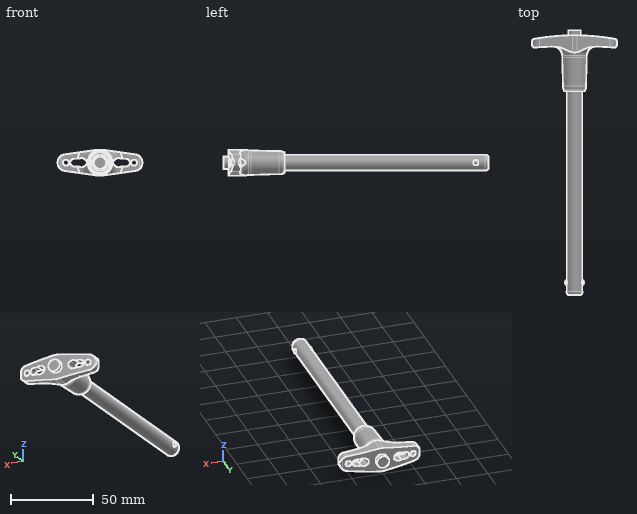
import cadquery as cq
import math

TOTAL_LENGTH = 160.4

SHAFT_RADIUS = 4.8
TIP_RADIUS = 3.7
TIP_LENGTH = 2.4
BUTTON_RADIUS = 3.8
BUTTON_HEIGHT = 3.0

BALL_RADIUS = 1.8
BALL_REACH = 5.8
BALL_Y = 7.7

COLLAR_BOTTOM_Y = 123.3
COLLAR_BOTTOM_RADIUS = 6.3
COLLAR_LIP_RADIUS = 6.7
COLLAR_LIP_HEIGHT = 1.1
COLLAR_SHOULDER_RADIUS = 7.0
COLLAR_SHOULDER_HEIGHT = 3.5
COLLAR_CURVE_RADIUS = 4.0
NECK_RADIUS = 7.5
NECK_BOTTOM_Y = 143.9
NECK_TOP_Y = 145.3

HANDLE_LENGTH = 51.5
HANDLE_HALF_THICKNESS = 7.94
CENTRE_FLAT_HALF_WIDTH = 1.3
EAR_RADIUS = 5.1
EAR_X = HANDLE_LENGTH / 2 - EAR_RADIUS
HANDLE_TOP_Y = TOTAL_LENGTH - BUTTON_HEIGHT
TOP_CROWN_RADIUS = 136.3
UNDERSIDE_Y = 150.6
EAR_BOTTOM_Y = 149.7
END_ROUNDING = 1.8
FLARE_RADIUS = 13.8
FLARE_TOP_Y = 150.3

EAR_HOLE_RADIUS = 1.8
SLOT_HALF_WIDTH = 2.2
SLOT_INNER_X = 8.0
SLOT_OUTER_X = 18.0
SLOT_BULGE_RADIUS = 2.7
SLOT_BULGE_X = 11.2


def make_pin():
    """Shaft with a rounded tip, the collar and the push button."""
    tip_mid_radius = TIP_RADIUS + (SHAFT_RADIUS - TIP_RADIUS) * math.sin(math.radians(45))
    tip_mid_y = TIP_LENGTH * (1 - math.cos(math.radians(45)))
    lip_y = COLLAR_BOTTOM_Y + COLLAR_LIP_HEIGHT
    shoulder_y = COLLAR_BOTTOM_Y + COLLAR_SHOULDER_HEIGHT
    return (
        cq.Workplane("XY")
        .lineTo(TIP_RADIUS, 0)
        .threePointArc((tip_mid_radius, tip_mid_y), (SHAFT_RADIUS, TIP_LENGTH))
        .lineTo(SHAFT_RADIUS, COLLAR_BOTTOM_Y)
        .lineTo(COLLAR_BOTTOM_RADIUS, COLLAR_BOTTOM_Y)
        .lineTo(COLLAR_LIP_RADIUS, lip_y)
        .radiusArc((COLLAR_SHOULDER_RADIUS, shoulder_y), -COLLAR_CURVE_RADIUS)
        .lineTo(NECK_RADIUS, NECK_BOTTOM_Y)
        .lineTo(NECK_RADIUS, NECK_TOP_Y)
        .lineTo(BUTTON_RADIUS, NECK_TOP_Y)
        .lineTo(BUTTON_RADIUS, TOTAL_LENGTH)
        .lineTo(0, TOTAL_LENGTH)
        .close()
        .revolve(360, (0, 0, 0), (0, 1, 0))
    )


def make_outline_prism():
    """Handle outline along the pin axis: straight flanks tangent to round ears."""
    run = EAR_X - CENTRE_FLAT_HALF_WIDTH
    distance = math.hypot(run, HANDLE_HALF_THICKNESS)
    corner_angle = math.pi - math.atan2(HANDLE_HALF_THICKNESS, run)
    tangent_angle = corner_angle - math.acos(EAR_RADIUS / distance)
    tangent_x = EAR_X + EAR_RADIUS * math.cos(tangent_angle)
    tangent_z = EAR_RADIUS * math.sin(tangent_angle)
    tip_x = HANDLE_LENGTH / 2
    return (
        cq.Workplane("XZ")
        .moveTo(-CENTRE_FLAT_HALF_WIDTH, HANDLE_HALF_THICKNESS)
        .lineTo(CENTRE_FLAT_HALF_WIDTH, HANDLE_HALF_THICKNESS)
        .lineTo(tangent_x, tangent_z)
        .threePointArc((tip_x, 0), (tangent_x, -tangent_z))
        .lineTo(CENTRE_FLAT_HALF_WIDTH, -HANDLE_HALF_THICKNESS)
        .lineTo(-CENTRE_FLAT_HALF_WIDTH, -HANDLE_HALF_THICKNESS)
        .lineTo(-tangent_x, -tangent_z)
        .threePointArc((-tip_x, 0), (-tangent_x, tangent_z))
        .close()
        .extrude(-TOTAL_LENGTH)
    )


def make_bar():
    """Crowned bar with rounded ends, as long and thick as the whole handle."""
    end_x = HANDLE_LENGTH / 2
    crown_drop = TOP_CROWN_RADIUS - math.sqrt(TOP_CROWN_RADIUS**2 - end_x**2)
    end_top_y = HANDLE_TOP_Y - crown_drop
    return (
        cq.Workplane("XY")
        .moveTo(-end_x, EAR_BOTTOM_Y)
        .lineTo(-end_x, end_top_y)
        .threePointArc((0, HANDLE_TOP_Y), (end_x, end_top_y))
        .lineTo(end_x, EAR_BOTTOM_Y)
        .threePointArc((0, UNDERSIDE_Y), (-end_x, EAR_BOTTOM_Y))
        .close()
        .extrude(HANDLE_HALF_THICKNESS, both=True)
        .edges("|Z")
        .fillet(END_ROUNDING)
    )


def make_flare():
    """Concave flare that blends the neck into the underside of the bar."""
    rise = FLARE_TOP_Y - NECK_TOP_Y
    spread = FLARE_RADIUS - NECK_RADIUS
    mid_x = FLARE_RADIUS - spread * math.cos(math.radians(45))
    mid_y = NECK_TOP_Y + rise * math.sin(math.radians(45))
    inside_bar_y = UNDERSIDE_Y + 1.6
    return (
        cq.Workplane("XY")
        .moveTo(0, NECK_TOP_Y)
        .lineTo(NECK_RADIUS, NECK_TOP_Y)
        .threePointArc((mid_x, mid_y), (FLARE_RADIUS, FLARE_TOP_Y))
        .lineTo(FLARE_RADIUS, inside_bar_y)
        .lineTo(0, inside_bar_y)
        .close()
        .revolve(360, (0, 0, 0), (0, 1, 0))
    )


def make_opening(side):
    """Ear hole and bulged slot on one side of the handle."""
    slot_length = SLOT_OUTER_X - SLOT_INNER_X
    slot_x = side * (SLOT_OUTER_X + SLOT_INNER_X) / 2
    plane = cq.Workplane("XZ")
    hole = plane.center(side * EAR_X, 0).circle(EAR_HOLE_RADIUS).extrude(-TOTAL_LENGTH)
    slot = plane.center(slot_x, 0).slot2D(slot_length, 2 * SLOT_HALF_WIDTH).extrude(-TOTAL_LENGTH)
    bulge = plane.center(side * SLOT_BULGE_X, 0).circle(SLOT_BULGE_RADIUS).extrude(-TOTAL_LENGTH)
    return hole.union(slot).union(bulge)


handle = make_bar().union(make_flare()).intersect(make_outline_prism())
for side in (-1, 1):
    handle = handle.cut(make_opening(side))

result = make_pin().union(handle)
for side in (-1, 1):
    ball_x = side * (BALL_REACH - BALL_RADIUS)
    result = result.union(cq.Workplane("XY").sphere(BALL_RADIUS).translate((ball_x, BALL_Y, 0)))